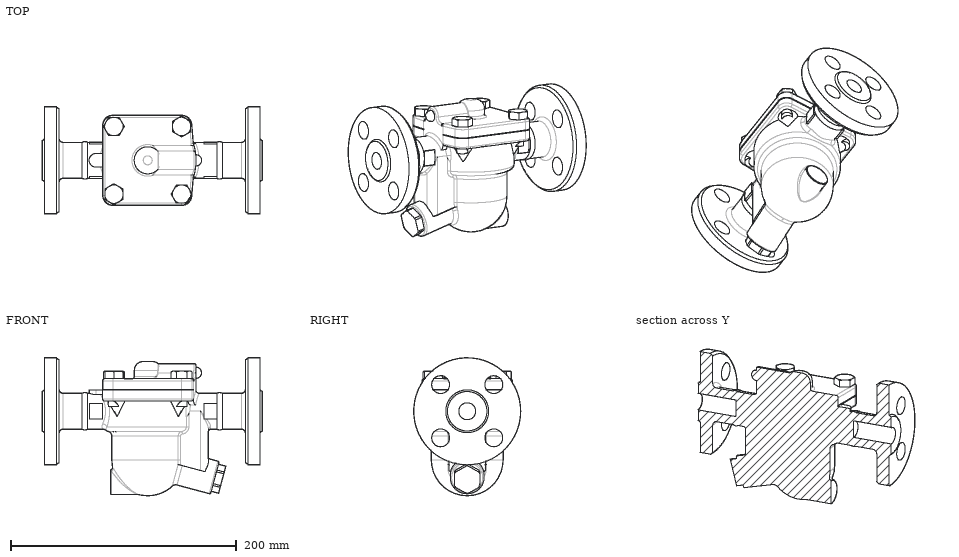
import cadquery as cq
import math


total_length = 195.0
inlet_face_x = -93.5
outlet_face_x = inlet_face_x + total_length
pipe_radius = 16.0
bore_diameter = 15.0
flange_diameter = 95.0
flange_thickness = 13.0
flange_chamfer_length = 2.5
flange_chamfer_height = 2.0
raised_face_height = 2.0
raised_face_radius = 17.5
raised_face_root_radius = 19.0
hub_fillet = 3.5
flange_hole_diameter = 15.8
inlet_hole_circle = 60.5
outlet_hole_circle = 66.7
flange_hole_count = 4
bead_offset = 37.8
bead_width = 5.0
bead_height = 0.7
pad_half_width = 16.15
pad_height = 13.5
pad_length = 11.5
inlet_pad_x = -45.9
outlet_pad_x = 55.5

bowl_radius = 32.0
bowl_center_z = -43.0
upper_body_radius = 38.4
step_top_z = -14.0
step_bottom_z = -21.8
neck_fillet = 4.0

lid_width = 80.0
lid_inlet_x = -40.0
lid_corner_x = 38.4
lid_corner_radius = 9.0
lid_top_z = 28.9
lid_joint_z = 19.1
lid_bottom_z = 9.0
lid_edge_round = 2.0
joint_gap = 0.5
joint_inset = 0.5

bolt_pitch = 60.0
bolt_head_flats = 16.0
bolt_head_height = 6.6
bolt_head_crown_radius = 8.2
bolt_crown_height = 0.6
bolt_crown_angle = 30.0
hexagon_half_step = 30.0
bolt_diameter = 10.0
bolt_end_z = 4.2
ear_pitch = 53.6
ear_base_radius = 8.8
ear_tip_radius = 0.5
ear_tip_z = -4.5

knob_radius = 12.0
knob_top_z = 44.2
knob_round = 8.0
knob_base_fillet = 2.0
ridge_radius = 8.2
ridge_center_z = 34.1
ridge_foot_half_width = 13.2
ridge_end_x = 42.8
ridge_end_round = 1.6
ridge_fillet = 0.7
nub_radius = 5.0
drop_half_width = 15.0
drop_side_x = 40.5
drop_fillet = 2.7

block_end_x = 53.8
block_half_width = pipe_radius
block_corner_radius = 7.0
block_fillet = 2.5
block_top_fillet = 2.0
nozzle_tilt = 15.0
nozzle_radius = 15.0
nozzle_length = 61.6
nozzle_end_round = 1.2
nozzle_fillet = 4.5
block_floor_offset = 3.0
cap_length = 6.8
cap_corner_diameter = 26.0
cap_corner_trim = 0.5

inlet_boss_end_x = -52.0
inlet_boss_width = 12.0
inlet_boss_top_z = 18.9
drain_face_x = -33.0
drain_radius = 11.2
drain_center_z = -62.8
drain_chamfer = 0.6
drain_fillet = 2.0

seam_margin = 0.1


def flanged_end(face_x, inward):
    """Raised face, flange, hub, pipe and weld bead; inward is the X sign towards the body."""
    disc_front = raised_face_height
    disc_back = disc_front + flange_thickness
    hub_end = disc_back + hub_fillet
    bead_start = bead_offset - bead_width / 2
    bead_end = bead_offset + bead_width / 2
    rim = flange_diameter / 2
    arc_shift = hub_fillet * (1 - math.sqrt(0.5))

    def at(distance, radius):
        return (face_x + inward * distance, radius)

    profile = (
        cq.Workplane("XY")
        .moveTo(*at(0, 0))
        .lineTo(*at(0, raised_face_radius))
        .lineTo(*at(disc_front, raised_face_root_radius))
        .lineTo(*at(disc_front, rim))
        .lineTo(*at(disc_back - flange_chamfer_length, rim))
        .lineTo(*at(disc_back, rim - flange_chamfer_height))
        .lineTo(*at(disc_back, pipe_radius + hub_fillet))
        .threePointArc(at(disc_back + arc_shift, pipe_radius + arc_shift), at(hub_end, pipe_radius))
        .lineTo(*at(bead_start, pipe_radius))
        .threePointArc(at(bead_offset, pipe_radius + bead_height), at(bead_end, pipe_radius))
        .lineTo(*at(abs(face_x), pipe_radius))
        .lineTo(*at(abs(face_x), 0))
        .close()
    )
    return profile.revolve(360, (0, 0, 0), (1, 0, 0))


def flange_holes(face_x, inward, hole_circle):
    """Blind bore up to the weld bead and the bolt holes of one flange."""
    drill_plane = cq.Workplane("YZ", origin=(face_x, 0, 0))
    half_step = 180 / flange_hole_count
    bore = drill_plane.circle(bore_diameter / 2).extrude(inward * bead_offset)
    bolt_holes = (
        drill_plane
        .polarArray(hole_circle / 2, half_step, 360, flange_hole_count)
        .circle(flange_hole_diameter / 2)
        .extrude(inward * (raised_face_height + flange_thickness))
    )
    return bore.union(bolt_holes)


def wrench_pads(center_x):
    """Square wrench pads on both sides of the pipe, in one block through the pipe."""
    block = cq.Workplane("XY").box(pad_length, 2 * pad_half_width, pad_height)
    return block.translate((center_x, 0, 0))


def body_shell():
    """Cylindrical body stepping down to a hemispherical bowl."""
    step_mid_z = (step_top_z + step_bottom_z) / 2
    step_mid_radius = (upper_body_radius + bowl_radius) / 2
    bowl_diagonal = bowl_radius * math.sqrt(0.5)
    profile = (
        cq.Workplane("XZ")
        .moveTo(0, lid_joint_z)
        .lineTo(upper_body_radius, lid_joint_z)
        .lineTo(upper_body_radius, step_top_z)
        .tangentArcPoint((step_mid_radius, step_mid_z), relative=False)
        .tangentArcPoint((bowl_radius, step_bottom_z), relative=False)
        .lineTo(bowl_radius, bowl_center_z)
        .threePointArc((bowl_diagonal, bowl_center_z - bowl_diagonal), (0, bowl_center_z - bowl_radius))
        .close()
    )
    return profile.revolve(360, (0, 0, 0), (0, 1, 0))


def blended(first, second, radius, corner, opposite):
    """Union of two shapes with a fillet on the seam edges that lie inside the given box."""
    seam_box = cq.selectors.BoxSelector(corner, opposite, boundingbox=True)
    return first.union(second).edges(seam_box).fillet(radius)


def pipe_stubs():
    """Plain pipe between the two weld beads."""
    start_x = inlet_face_x + bead_offset
    return (
        cq.Workplane("YZ", origin=(start_x, 0, 0))
        .circle(pipe_radius)
        .extrude(total_length - 2 * bead_offset)
    )


def rooted_block():
    """Body with the outlet block, filleted along the upright seams on both sides."""
    shape = body_shell().union(outlet_block())
    for side in (-1, 1):
        seam_box = cq.selectors.BoxSelector(
            (0, side * (block_half_width - seam_margin), bowl_center_z - 2 * block_fillet),
            (upper_body_radius, side * (block_half_width + seam_margin), seam_margin),
            boundingbox=True,
        )
        shape = shape.edges(seam_box).fillet(block_fillet)
    return shape


def casting():
    """Body with drain boss, nozzle, pipe stubs and outlet block blended in by fillets."""
    bowl_floor_z = bowl_center_z - bowl_radius
    drain_half = drain_radius + seam_margin
    nozzle_half = nozzle_radius + seam_margin
    pipe_half = pipe_radius + seam_margin
    body = blended(
        body_shell(), drain_boss(), drain_fillet,
        (-bowl_radius, -drain_half, bowl_floor_z), (0, drain_half, bowl_center_z),
    )
    body = blended(
        body, nozzle(), nozzle_fillet,
        (0, -nozzle_half, bowl_floor_z),
        (bowl_radius + seam_margin, nozzle_half, bowl_center_z + bowl_radius / 2),
    )
    for start_x, end_x in ((-upper_body_radius, -bowl_radius), (bowl_radius, upper_body_radius)):
        body = blended(
            body, pipe_stubs(), neck_fillet,
            (start_x - seam_margin, -pipe_half, -pipe_half),
            (end_x + seam_margin, pipe_half, pipe_half),
        )
    return body.union(rooted_block())


def lid_plate(bottom_z, top_z, inset=0.0):
    """Lid outline as a plate: rounded corners and an outlet side that tapers towards the corners."""
    half_width = lid_width / 2 - inset
    back_x = lid_inlet_x + inset
    corner_x = lid_corner_x - inset
    drop_x = drop_side_x - inset
    return (
        cq.Workplane("XY", origin=(0, 0, bottom_z))
        .moveTo(back_x, -half_width)
        .lineTo(corner_x, -half_width)
        .lineTo(drop_x, -drop_half_width)
        .lineTo(drop_x, drop_half_width)
        .lineTo(corner_x, half_width)
        .lineTo(back_x, half_width)
        .close()
        .extrude(top_z - bottom_z)
        .edges("|Z and (>Y or <Y)")
        .fillet(lid_corner_radius - inset)
    )


def lid_stack():
    """Body flange, recessed gasket joint and lid plate."""
    body_flange = lid_plate(lid_bottom_z, lid_joint_z - joint_gap / 2)
    body_flange = body_flange.faces("<Z").edges().fillet(lid_edge_round)
    gasket = lid_plate(lid_bottom_z + lid_edge_round, lid_top_z - lid_edge_round, joint_inset)
    lid = lid_plate(lid_joint_z + joint_gap / 2, lid_top_z)
    lid = lid.faces(">Z").edges().fillet(lid_edge_round)
    return body_flange.union(gasket).union(lid)


def lid_bolt(x_sign, y_sign):
    """Crowned hexagon head above the lid, bolt end and conical ear below the flange."""
    x = x_sign * bolt_pitch / 2
    y = y_sign * bolt_pitch / 2
    turn = 0 if x_sign * y_sign < 0 else hexagon_half_step
    corner_diameter = bolt_head_flats / math.cos(math.radians(hexagon_half_step))
    crown_run = bolt_crown_height / math.tan(math.radians(bolt_crown_angle))
    hexagon = (
        cq.Workplane("XY")
        .polygon(6, corner_diameter)
        .extrude(bolt_head_height)
        .rotate((0, 0, 0), (0, 0, 1), turn)
    )
    crown = (
        cq.Workplane("XY")
        .circle(bolt_head_crown_radius + crown_run)
        .extrude(bolt_head_height)
        .faces(">Z")
        .chamfer(bolt_crown_height, crown_run)
    )
    head = hexagon.intersect(crown).translate((x, y, lid_top_z))
    shank = (
        cq.Workplane("XY", origin=(x, y, bolt_end_z))
        .circle(bolt_diameter / 2)
        .extrude(lid_top_z - bolt_end_z)
    )
    ear_height = lid_bottom_z - ear_tip_z
    ear = cq.Workplane(cq.Solid.makeCone(
        ear_tip_radius,
        ear_base_radius,
        ear_height,
        pnt=cq.Vector(x_sign * ear_pitch / 2, y_sign * ear_pitch / 2, ear_tip_z),
    ))
    return head.union(shank).union(ear)


def knob():
    """Domed knob with a concave foot on the lid."""
    dome_shift = knob_round * math.sqrt(0.5)
    foot_shift = knob_base_fillet * (1 - math.sqrt(0.5))
    dome_center_r = knob_radius - knob_round
    dome_center_z = knob_top_z - knob_round
    profile = (
        cq.Workplane("XZ")
        .moveTo(0, lid_top_z - lid_edge_round)
        .lineTo(knob_radius + knob_base_fillet, lid_top_z - lid_edge_round)
        .lineTo(knob_radius + knob_base_fillet, lid_top_z)
        .threePointArc(
            (knob_radius + foot_shift, lid_top_z + foot_shift),
            (knob_radius, lid_top_z + knob_base_fillet),
        )
        .lineTo(knob_radius, dome_center_z)
        .threePointArc(
            (dome_center_r + dome_shift, dome_center_z + dome_shift),
            (dome_center_r, knob_top_z),
        )
        .lineTo(0, knob_top_z)
        .close()
    )
    return profile.revolve(360, (0, 0, 0), (0, 1, 0))


def passage_outline(foot_z, top_z):
    """Prism under the ridge: curved wall towards the outlet."""
    return (
        cq.Workplane("XY", origin=(0, 0, foot_z))
        .moveTo(0, -drop_half_width)
        .lineTo(drop_side_x, -drop_half_width)
        .threePointArc((ridge_end_x, 0), (drop_side_x, drop_half_width))
        .lineTo(0, drop_half_width)
        .close()
        .extrude(top_z - foot_z)
    )


def passage_ridge():
    """Round-topped ridge from the knob to the outlet side, ending in the curved drop wall."""
    foot_z = lid_top_z - lid_edge_round
    flank_run = ridge_foot_half_width - ridge_radius
    flank_rise = ridge_center_z - lid_top_z
    flank_mid_y = ridge_radius + flank_run * (1 - math.sqrt(0.5))
    flank_mid_z = lid_top_z + flank_rise * (1 - math.sqrt(0.5))
    ridge = (
        cq.Workplane("YZ")
        .moveTo(-ridge_foot_half_width, foot_z)
        .lineTo(-ridge_foot_half_width, lid_top_z)
        .threePointArc((-flank_mid_y, flank_mid_z), (-ridge_radius, ridge_center_z))
        .threePointArc((0, ridge_center_z + ridge_radius), (ridge_radius, ridge_center_z))
        .threePointArc((flank_mid_y, flank_mid_z), (ridge_foot_half_width, lid_top_z))
        .lineTo(ridge_foot_half_width, foot_z)
        .close()
        .extrude(ridge_end_x)
    )
    ridge = ridge.intersect(passage_outline(foot_z, knob_top_z))
    crown_edge = cq.selectors.BoxSelector(
        (drop_side_x, -ridge_radius - seam_margin, ridge_center_z - seam_margin),
        (ridge_end_x + seam_margin, ridge_radius + seam_margin, knob_top_z),
        boundingbox=True,
    )
    ridge = ridge.edges(crown_edge).fillet(ridge_end_round)
    nub = cq.Workplane("XY").sphere(nub_radius).translate((ridge_end_x, 0, ridge_center_z))
    return ridge.union(nub)


def passage_drop():
    """Curved wall from the lid down to the outlet pipe, blended into the pipe."""
    wall = passage_outline(0, lid_top_z - lid_edge_round)
    return blended(
        pipe_stubs(), wall, drop_fillet,
        (upper_body_radius, -drop_half_width - seam_margin, 0),
        (ridge_end_x + seam_margin, drop_half_width + seam_margin, pipe_radius + seam_margin),
    )


def lid_dome():
    """Knob and passage ridge with a small fillet between them."""
    return blended(
        knob(), passage_ridge(), ridge_fillet,
        (knob_radius / 2, -ridge_foot_half_width, lid_top_z + seam_margin),
        (knob_radius + knob_base_fillet, ridge_foot_half_width, knob_top_z),
    )


def along_nozzle(shape):
    """Turn a shape built along +X and move it onto the nozzle axis through the bowl centre."""
    return shape.rotate((0, 0, 0), (0, 1, 0), nozzle_tilt).translate((0, 0, bowl_center_z))


def nozzle():
    """Inclined strainer nozzle."""
    barrel = cq.Workplane("YZ").circle(nozzle_radius).extrude(nozzle_length)
    return along_nozzle(barrel.faces(">X").edges().fillet(nozzle_end_round))


def nozzle_cap():
    """Hexagon plug on the nozzle, with trimmed corners."""
    cap_plane = cq.Workplane("YZ", origin=(nozzle_length, 0, 0))
    hexagon = (
        cap_plane
        .polygon(6, cap_corner_diameter)
        .extrude(cap_length)
        .rotate((0, 0, 0), (1, 0, 0), hexagon_half_step)
    )
    trim = cap_plane.circle(cap_corner_diameter / 2 - cap_corner_trim).extrude(cap_length)
    return along_nozzle(hexagon.intersect(trim))


def outlet_block():
    """Upright passage block between outlet pipe and nozzle; its floor follows the nozzle tilt."""
    slope = math.tan(math.radians(nozzle_tilt))
    floor_start_z = bowl_center_z + block_floor_offset
    side_profile = (
        cq.Workplane("XZ", origin=(0, block_half_width, 0))
        .moveTo(0, 0)
        .lineTo(block_end_x, 0)
        .lineTo(block_end_x, floor_start_z - slope * block_end_x)
        .lineTo(0, floor_start_z)
        .close()
        .extrude(2 * block_half_width)
    )
    return side_profile.edges("|Z and >X").fillet(block_corner_radius)


def block_top():
    """Outlet block blended into the outlet pipe above it."""
    block_side = block_half_width + seam_margin
    return blended(
        pipe_stubs(), outlet_block(), block_top_fillet,
        (block_end_x - block_corner_radius - seam_margin, -block_side, -block_side),
        (block_end_x + seam_margin, block_side, seam_margin),
    )


def inlet_boss():
    """Low round-ended boss on top of the inlet pipe."""
    end_radius = inlet_boss_width / 2
    straight_x = inlet_boss_end_x + end_radius
    outline = (
        cq.Workplane("XY")
        .moveTo(0, -end_radius)
        .lineTo(straight_x, -end_radius)
        .threePointArc((inlet_boss_end_x, 0), (straight_x, end_radius))
        .lineTo(0, end_radius)
        .close()
    )
    return outline.extrude(inlet_boss_top_z)


def drain_boss():
    """Horizontal drain boss low on the inlet side of the bowl."""
    return (
        cq.Workplane("YZ", origin=(drain_face_x, 0, drain_center_z))
        .circle(drain_radius)
        .extrude(-drain_face_x)
        .faces("<X")
        .chamfer(drain_chamfer)
    )


result = casting()
for face_x, inward in ((inlet_face_x, 1), (outlet_face_x, -1)):
    result = result.union(flanged_end(face_x, inward))
result = result.union(wrench_pads(inlet_pad_x)).union(wrench_pads(outlet_pad_x))
result = result.union(inlet_boss())
result = result.union(passage_drop()).union(block_top())
result = result.union(lid_stack())
result = result.union(lid_dome())
result = result.union(nozzle_cap())
for x_sign in (-1, 1):
    for y_sign in (-1, 1):
        result = result.union(lid_bolt(x_sign, y_sign))
result = result.cut(flange_holes(inlet_face_x, 1, inlet_hole_circle))
result = result.cut(flange_holes(outlet_face_x, -1, outlet_hole_circle))
result = cq.Workplane(result.solids().val())